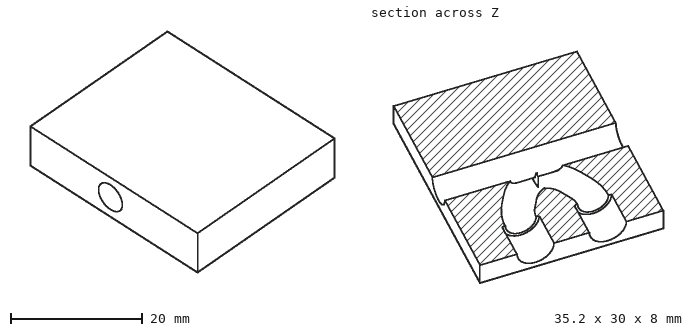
import cadquery as cq
import math

LENGTH = 35.18
WIDTH = 30.0
HEIGHT = 8.0

BORE_DIAMETER = 5.0
CROSS_BORE_X = -0.75

PORT_DIAMETER = 6.0
PORT_DEPTH = 6.0
PORT_OFFSET = 5.9

BEND_RADIUS = 6.0
FIRST_BEND = math.radians(30)
LEG_LENGTH = 2.0


def passage(port_side):
    """Round passage from a port floor, turning inward until it reaches the mid-plane."""
    start_x = PORT_DEPTH - LENGTH / 2
    first_center_y = PORT_OFFSET - BEND_RADIUS

    def on_bend(center_x, center_y, angle):
        x = center_x + BEND_RADIUS * math.sin(angle)
        y = center_y + BEND_RADIUS * math.cos(angle)
        return (x, port_side * y)

    second_center_x = start_x + LEG_LENGTH * math.cos(FIRST_BEND)
    second_center_y = first_center_y - LEG_LENGTH * math.sin(FIRST_BEND)
    end_angle = math.acos(-second_center_y / BEND_RADIUS)
    middle_angle = (FIRST_BEND + end_angle) / 2

    path = (
        cq.Workplane("XY")
        .moveTo(start_x, port_side * PORT_OFFSET)
        .threePointArc(
            on_bend(start_x, first_center_y, FIRST_BEND / 2),
            on_bend(start_x, first_center_y, FIRST_BEND),
        )
        .lineTo(*on_bend(second_center_x, second_center_y, FIRST_BEND))
        .threePointArc(
            on_bend(second_center_x, second_center_y, middle_angle),
            on_bend(second_center_x, second_center_y, end_angle),
        )
    )
    return (
        cq.Workplane("YZ", origin=(start_x, port_side * PORT_OFFSET, 0))
        .circle(BORE_DIAMETER / 2)
        .sweep(path)
    )


def port(port_side):
    """Flat-bottomed port entering from the -X face."""
    return (
        cq.Workplane("YZ", origin=(-LENGTH / 2, port_side * PORT_OFFSET, 0))
        .circle(PORT_DIAMETER / 2)
        .extrude(PORT_DEPTH)
    )


cross_bore = (
    cq.Workplane("XZ", origin=(CROSS_BORE_X, 0, 0))
    .circle(BORE_DIAMETER / 2)
    .extrude(WIDTH / 2, both=True)
)

result = cq.Workplane("XY").box(LENGTH, WIDTH, HEIGHT).cut(cross_bore)
for side in (-1, 1):
    result = result.cut(port(side)).cut(passage(side))